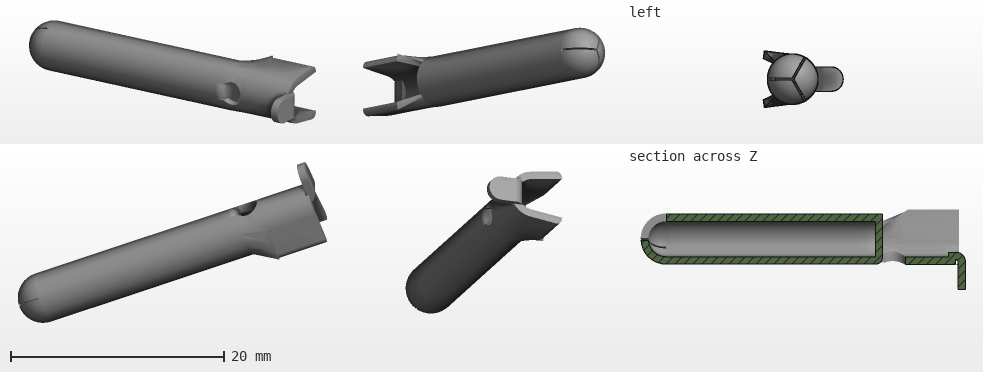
import cadquery as cq
import math

wall = 0.73
overall_length = 30.48

barrel_radius = 2.38
bore_radius = barrel_radius - wall
barrel_end_x = 22.7
nose_slit_width = 0.18
nose_slit_angles = (0, 120, 240)

end_disc_edge_radius = 0.7

transition_end_x = 25.12
transition_tangent_y = -0.95
transition_top_y = 1.68

crimp_end_x = 29.9
crimp_radius = 2.25
crimp_floor_drop = 0.03
crimp_center_y = crimp_radius - barrel_radius - crimp_floor_drop
crimp_height = 5.33
crimp_half_height = crimp_height / 2
arm_flare = math.radians(7.9)
arm_edge_radius = 0.55

hole_x = 23.68
hole_radius = 1.13
slot_start_x = barrel_end_x - wall
slot_width = 1.6

tab_width = 2.32
tab_tip_y = -4.75
tab_bend_inner_radius = 0.18
tab_bend_outer_radius = tab_bend_inner_radius + wall
tab_bend_x = overall_length - tab_bend_outer_radius
tab_bend_y = -2.13

diagonal = math.sqrt(0.5)


def make_barrel():
    """Closed-nose tube made by revolving its half section about X."""
    nose_outer_mid = (barrel_radius * (1 - diagonal), barrel_radius * diagonal)
    nose_inner_mid = (barrel_radius - bore_radius * diagonal, bore_radius * diagonal)
    tube = (
        cq.Workplane("XY")
        .moveTo(0, 0)
        .threePointArc(nose_outer_mid, (barrel_radius, barrel_radius))
        .lineTo(barrel_end_x, barrel_radius)
        .lineTo(barrel_end_x, bore_radius)
        .lineTo(barrel_radius, bore_radius)
        .threePointArc(nose_inner_mid, (wall, 0))
        .close()
        .revolve(360, (0, 0, 0), (1, 0, 0))
    )
    for angle in nose_slit_angles:
        slit = (
            cq.Workplane("XY")
            .box(barrel_radius, barrel_radius, nose_slit_width, centered=(False, False, True))
            .rotate((0, 0, 0), (1, 0, 0), angle)
        )
        tube = tube.cut(slit)
    return tube


def make_end_disc():
    """Disc as wide as the barrel, filling the slot with a rounded step."""
    disc = (
        cq.Workplane("YZ", origin=(slot_start_x, 0, 0))
        .circle(barrel_radius)
        .extrude(barrel_end_x - slot_start_x)
    )
    return disc.faces(">X").edges().fillet(end_disc_edge_radius)


def mirrored(point):
    """Image of a (Y, Z) point across the middle plane Z = 0."""
    return (point[0], -point[1])


def barrel_end_section(plane):
    """Open ring following the barrel, split where the crimp floor meets its arms."""
    def on_circle(radius, angle):
        return (radius * math.sin(angle), radius * math.cos(angle))

    tangent_angle = math.asin(transition_tangent_y / barrel_radius)
    top_angle = math.asin(transition_top_y / barrel_radius)
    middle_angle = (tangent_angle + top_angle) / 2
    angles = (tangent_angle, middle_angle, top_angle)
    tangent, middle, top = [on_circle(barrel_radius, a) for a in angles]
    inner_tangent, inner_middle, inner_top = [on_circle(bore_radius, a) for a in angles]
    return (
        plane.moveTo(*mirrored(top))
        .threePointArc(mirrored(middle), mirrored(tangent))
        .threePointArc((-barrel_radius, 0), tangent)
        .threePointArc(middle, top)
        .lineTo(*inner_top)
        .threePointArc(inner_middle, inner_tangent)
        .threePointArc((-bore_radius, 0), mirrored(inner_tangent))
        .threePointArc(mirrored(inner_middle), mirrored(inner_top))
        .close()
    )


def crimp_section(plane):
    """U of constant wall: a round floor with straight arms flaring outward."""
    sin_flare = math.sin(arm_flare)
    cos_flare = math.cos(arm_flare)
    inner_radius = crimp_radius - wall
    tangent = (crimp_center_y - crimp_radius * sin_flare, crimp_radius * cos_flare)
    inner_tangent = (crimp_center_y - inner_radius * sin_flare, inner_radius * cos_flare)
    arm_rise = (crimp_half_height - tangent[1]) / math.tan(arm_flare)
    top = (tangent[0] + arm_rise, crimp_half_height)
    inner_top = (top[0] + wall * sin_flare, top[1] - wall * cos_flare)
    return (
        plane.moveTo(*mirrored(top))
        .lineTo(*mirrored(tangent))
        .threePointArc((crimp_center_y - crimp_radius, 0), tangent)
        .lineTo(*top)
        .lineTo(*inner_top)
        .lineTo(*inner_tangent)
        .threePointArc((crimp_center_y - inner_radius, 0), mirrored(inner_tangent))
        .lineTo(*mirrored(inner_top))
        .close()
    )


def make_transition():
    length = transition_end_x - barrel_end_x
    section = barrel_end_section(cq.Workplane("YZ", origin=(barrel_end_x, 0, 0)))
    return crimp_section(section.workplane(offset=length)).loft(ruled=True)


def make_crimp():
    section = crimp_section(cq.Workplane("YZ", origin=(transition_end_x, 0, 0)))
    crimp = section.extrude(crimp_end_x - transition_end_x)
    crimp = crimp.edges("|X").edges(">Z or <Z").fillet(arm_edge_radius)
    tab_gap = (
        cq.Workplane("XY", origin=(tab_bend_x, 0, 0))
        .box(overall_length, 2 * barrel_radius, tab_width, centered=(False, True, True))
    )
    return crimp.cut(tab_gap)


def make_tab():
    """Strip leaving the crimp floor and bent square toward -Y, with a round tip."""
    def bend_middle(radius):
        return (tab_bend_x + radius * diagonal, tab_bend_y + radius * diagonal)

    root_x = tab_bend_x - wall
    inner_x = tab_bend_x + tab_bend_inner_radius
    inner_y = tab_bend_y + tab_bend_inner_radius
    outer_y = tab_bend_y + tab_bend_outer_radius
    strip = (
        cq.Workplane("XY")
        .moveTo(root_x, inner_y)
        .lineTo(tab_bend_x, inner_y)
        .threePointArc(bend_middle(tab_bend_inner_radius), (inner_x, tab_bend_y))
        .lineTo(inner_x, tab_tip_y)
        .lineTo(overall_length, tab_tip_y)
        .lineTo(overall_length, tab_bend_y)
        .threePointArc(bend_middle(tab_bend_outer_radius), (tab_bend_x, outer_y))
        .lineTo(root_x, outer_y)
        .close()
        .extrude(tab_width / 2, both=True)
    )
    tip_radius = tab_width / 2
    tip_center_y = tab_tip_y + tip_radius
    rounded_outline = (
        cq.Workplane("YZ", origin=(root_x, 0, 0))
        .moveTo(0, tip_radius)
        .lineTo(tip_center_y, tip_radius)
        .threePointArc((tab_tip_y, 0), (tip_center_y, -tip_radius))
        .lineTo(0, -tip_radius)
        .close()
        .extrude(overall_length - root_x)
    )
    return strip.intersect(rounded_outline)


def make_inspection_cutout():
    """Round hole and slot through the -Y wall only."""
    depth = 2 * barrel_radius
    hole = cq.Workplane("XZ").center(hole_x, 0).circle(hole_radius).extrude(depth)
    slot = (
        cq.Workplane("XY", origin=(slot_start_x, 0, 0))
        .box(hole_x - slot_start_x, depth, slot_width, centered=(False, False, True))
        .translate((0, -depth, 0))
    )
    return hole.union(slot)


result = (
    make_barrel()
    .union(make_transition())
    .union(make_crimp())
    .union(make_tab())
    .cut(make_inspection_cutout())
    .union(make_end_disc())
)